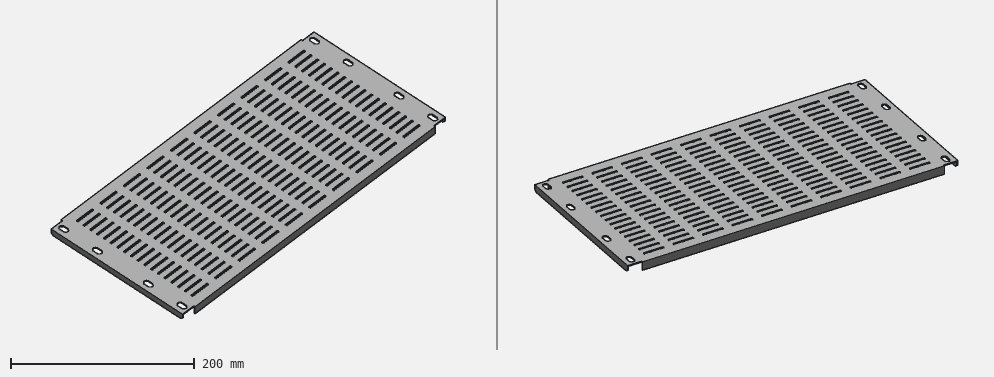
import cadquery as cq

length = 420.0
height = 11.0
sheet = 1.6

end_width = 195.5
side_overhang = 1.97
width = end_width + 2 * side_overhang

side_flange_length = 384.0
end_flange_height = 8.5
end_flange_corner = 2.5

vent_columns = 18
vent_rows = 10
vent_width = 2.25
vent_length = 25.0
vent_span_x = 170.5
vent_span_y = 338.0
vent_column_pitch = vent_span_x / (vent_columns - 1)
vent_row_pitch = vent_span_y / (vent_rows - 1)

mount_length = 12.0
mount_width = 6.7
mount_inner_x = 38.0
mount_outer_x = 87.8
mount_y = 200.5


def hanging_block(size_x, size_y, depth, x=0, y=0):
    """Block centred on (x, y) that hangs down from the top face at Z = 0."""
    block = cq.Workplane("XY").box(size_x, size_y, depth, centered=(True, True, False))
    return block.translate((x, y, -depth))


def end_flange(y):
    """Flange across the end of the panel with its two lower corners cut at 45 degrees."""
    flange = hanging_block(end_width, sheet, end_flange_height, y=y)
    return flange.faces("<Z").edges("|Y").chamfer(end_flange_corner)


def folded_sheet():
    """Panel with long flanges at the sides and shallower ones at the ends."""
    body = hanging_block(end_width, length, sheet)
    body = body.union(hanging_block(width, side_flange_length, sheet))
    for side in (-1, 1):
        side_x = side * (width - sheet) / 2
        end_y = side * (length - sheet) / 2
        body = body.union(hanging_block(sheet, side_flange_length, height, x=side_x))
        body = body.union(end_flange(end_y))
    return body


def vent_cutter():
    return (
        cq.Workplane("XY")
        .rarray(vent_column_pitch, vent_row_pitch, vent_columns, vent_rows)
        .rect(vent_width, vent_length)
        .extrude(-sheet)
    )


def mount_cutter():
    centres = [
        (x, y)
        for x in (-mount_outer_x, -mount_inner_x, mount_inner_x, mount_outer_x)
        for y in (-mount_y, mount_y)
    ]
    return cq.Workplane("XY").pushPoints(centres).slot2D(mount_length, mount_width).extrude(-sheet)


result = folded_sheet().cut(vent_cutter()).cut(mount_cutter())